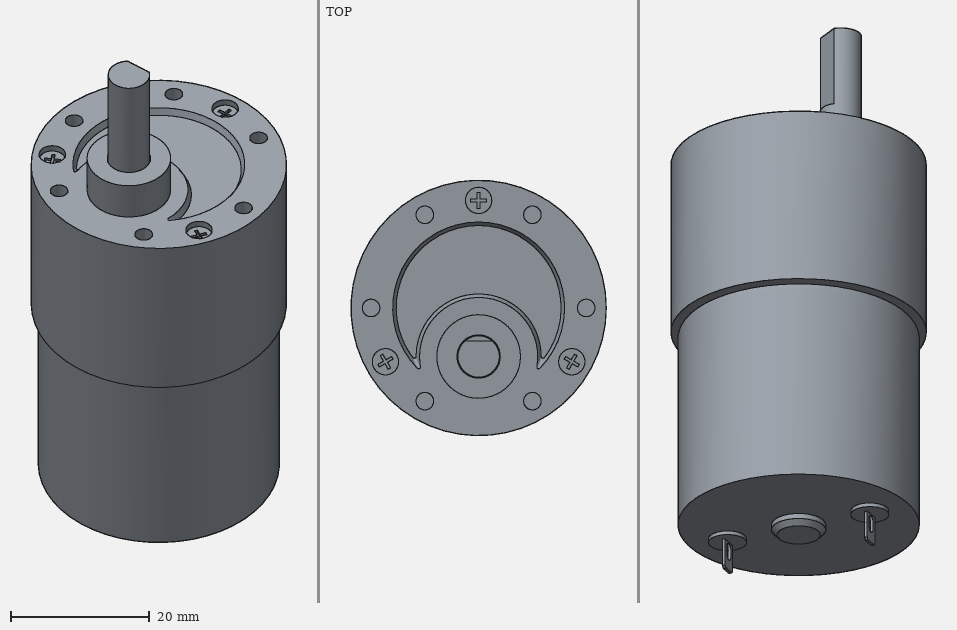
import cadquery as cq
import math

TOTAL_HEIGHT = 84.2
MOTOR_BOTTOM = 5.05
GEARBOX_BOTTOM = 35.6
GEARBOX_TOP = 62.2
BOSS_TOP = 68.2

MOTOR_DIAMETER = 34.8
MOTOR_TOP_FILLET = 1.0
GEARBOX_DIAMETER = 36.8

SHAFT_OFFSET = 7.0
SHAFT_DIAMETER = 6.0
SHAFT_FLAT_LENGTH = 11.95
SHAFT_FLAT_DEPTH = 0.75
BOSS_DIAMETER = 12.0
BOSS_BORE_DIAMETER = 6.2

POCKET_DIAMETER = 24.75
POCKET_ISLAND_DIAMETER = 17.0
POCKET_DEPTH = 1.0
POCKET_WALL_INSET = 0.5
POCKET_TIP_RADIUS = 0.3

BOLT_CIRCLE_RADIUS = 15.5
MOUNT_HOLE_COUNT = 6
MOUNT_HOLE_DIAMETER = 2.5
MOUNT_HOLE_DEPTH = 5.05
SCREW_COUNT = 3
SCREW_START_ANGLE = 90
SCREW_RECESS_DIAMETER = 3.8
SCREW_RECESS_DEPTH = 1.0
CROSS_LENGTH = 2.3
CROSS_WIDTH = 0.4
CROSS_DEPTH = 0.5

CAP_DIAMETER = 7.8
CAP_HEIGHT = 1.6
CAP_CHAMFER = 0.8

TERMINAL_X = 9.3
TERMINAL_Y = 6.5
INSULATOR_DIAMETER = 5.5
INSULATOR_THICKNESS = 0.6
BLADE_WIDTH = 2.6
BLADE_THICKNESS = 0.4
BLADE_TIP_CHAMFER = 0.3
BLADE_SLOT_WIDTH = 1.35
BLADE_SLOT_BOTTOM = 1.7
BLADE_SLOT_TOP = 4.2


def cylinder(diameter, bottom, top, x=0.0, y=0.0):
    """Upright cylinder between two heights."""
    return cq.Workplane("XY", origin=(x, y, bottom)).circle(diameter / 2).extrude(top - bottom)


def cone(bottom_radius, top_radius, y=0.0):
    """Truncated cone spanning the depth of the crescent pocket."""
    base = cq.Vector(0, y, GEARBOX_TOP - POCKET_DEPTH)
    return cq.Workplane(cq.Solid.makeCone(bottom_radius, top_radius, POCKET_DEPTH, base))


def make_housing():
    motor = cylinder(MOTOR_DIAMETER, MOTOR_BOTTOM, GEARBOX_BOTTOM)
    motor = motor.faces(">Z").edges().fillet(MOTOR_TOP_FILLET)
    return motor.union(cylinder(GEARBOX_DIAMETER, GEARBOX_BOTTOM, GEARBOX_TOP))


def make_output_shaft():
    """Bored boss and D-shaped shaft running through it; the flat faces the motor axis."""
    boss = cylinder(BOSS_DIAMETER, GEARBOX_TOP, BOSS_TOP, y=-SHAFT_OFFSET)
    bore = cylinder(BOSS_BORE_DIAMETER, GEARBOX_TOP, BOSS_TOP, y=-SHAFT_OFFSET)
    shaft = cylinder(SHAFT_DIAMETER, GEARBOX_TOP, TOTAL_HEIGHT, y=-SHAFT_OFFSET)
    flat_y = -SHAFT_OFFSET + SHAFT_DIAMETER / 2 - SHAFT_FLAT_DEPTH
    flat = cq.Workplane("XY", origin=(0, flat_y, TOTAL_HEIGHT - SHAFT_FLAT_LENGTH)).box(
        SHAFT_DIAMETER, SHAFT_DIAMETER, SHAFT_FLAT_LENGTH, centered=(True, False, False)
    )
    return boss.cut(bore).union(shaft.cut(flat))


def make_crescent_pocket():
    """Tapered disc less a tapered island around the shaft, with rounded tips."""
    outer_radius = POCKET_DIAMETER / 2
    island_radius = POCKET_ISLAND_DIAMETER / 2
    disc = cone(outer_radius - POCKET_WALL_INSET, outer_radius)
    island = cone(island_radius + POCKET_WALL_INSET, island_radius, -SHAFT_OFFSET)
    crescent = disc.cut(island)
    return crescent.edges("%ELLIPSE").fillet(POCKET_TIP_RADIUS)


def make_mounting_holes():
    return (
        cq.Workplane("XY", origin=(0, 0, GEARBOX_TOP))
        .polarArray(BOLT_CIRCLE_RADIUS, 0, 360, MOUNT_HOLE_COUNT)
        .circle(MOUNT_HOLE_DIAMETER / 2)
        .extrude(-MOUNT_HOLE_DEPTH)
    )


def make_screw_recesses():
    """Round recesses whose floors are cross-slotted screw heads."""
    floor = GEARBOX_TOP - SCREW_RECESS_DEPTH
    recesses = (
        cq.Workplane("XY", origin=(0, 0, GEARBOX_TOP))
        .polarArray(BOLT_CIRCLE_RADIUS, SCREW_START_ANGLE, 360, SCREW_COUNT)
        .circle(SCREW_RECESS_DIAMETER / 2)
        .extrude(-SCREW_RECESS_DEPTH)
    )
    for length, width in ((CROSS_LENGTH, CROSS_WIDTH), (CROSS_WIDTH, CROSS_LENGTH)):
        slots = (
            cq.Workplane("XY", origin=(0, 0, floor))
            .polarArray(BOLT_CIRCLE_RADIUS, SCREW_START_ANGLE, 360, SCREW_COUNT)
            .rect(length, width)
            .extrude(-CROSS_DEPTH)
        )
        recesses = recesses.union(slots)
    return recesses


def make_bearing_cap():
    cap = cylinder(CAP_DIAMETER, MOTOR_BOTTOM - CAP_HEIGHT, MOTOR_BOTTOM)
    return cap.faces("<Z").edges().chamfer(CAP_CHAMFER)


def make_terminal(x, y):
    """Insulator and slotted blade; the blade's broad face looks at the motor axis."""
    insulator = cylinder(INSULATOR_DIAMETER, MOTOR_BOTTOM - INSULATOR_THICKNESS, MOTOR_BOTTOM)
    blade = cq.Workplane("XY").box(
        BLADE_THICKNESS, BLADE_WIDTH, MOTOR_BOTTOM, centered=(True, True, False)
    )
    blade = blade.faces("<Z").edges("|X").chamfer(BLADE_TIP_CHAMFER)
    slot_middle = (BLADE_SLOT_BOTTOM + BLADE_SLOT_TOP) / 2
    slot = (
        cq.Workplane("YZ", origin=(0, 0, slot_middle))
        .slot2D(BLADE_SLOT_TOP - BLADE_SLOT_BOTTOM, BLADE_SLOT_WIDTH, 90)
        .extrude(BLADE_THICKNESS, both=True)
    )
    terminal = insulator.union(blade.cut(slot))
    angle = math.degrees(math.atan2(y, x))
    return terminal.rotate((0, 0, 0), (0, 0, 1), angle).translate((x, y, 0))


result = make_housing().union(make_output_shaft()).union(make_bearing_cap())
for side in (1, -1):
    result = result.union(make_terminal(side * TERMINAL_X, side * TERMINAL_Y))
result = result.cut(make_crescent_pocket())
result = result.cut(make_mounting_holes())
result = result.cut(make_screw_recesses())